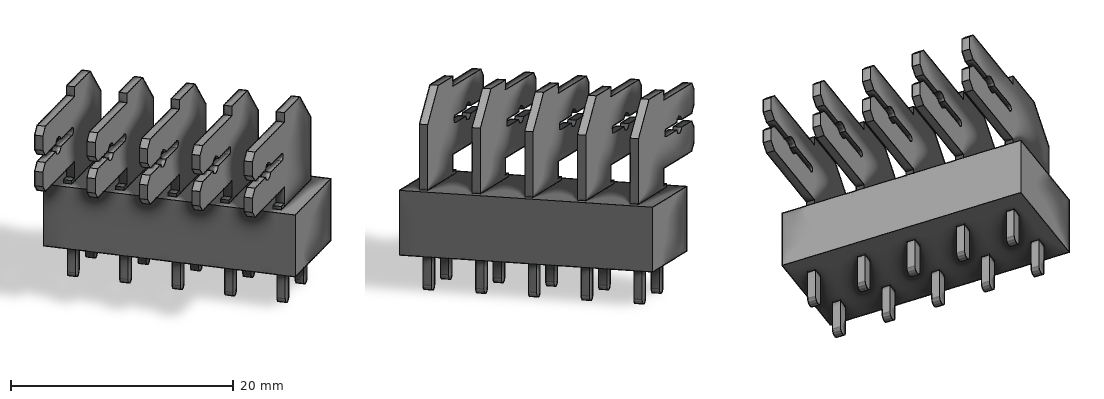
import cadquery as cq


housing_length = 24.0
housing_depth = 9.8
housing_height = 5.95
housing_back = housing_depth / 2
housing_front = -housing_back

contact_count = 5
contact_pitch = 5.0
contact_thickness = 0.8

plate_margin = 0.85
plate_height = 9.05
plate_depth = 7.27
plate_chamfer = 3.02
foot_height = 0.3
plate_back = housing_back - plate_margin
plate_front = plate_back - plate_depth
foot_front = housing_front + plate_margin
plate_top = housing_height + plate_height

fork_reach = 8.74
fork_height = 6.26
fork_drop = 0.9
tine_chamfer = 0.7
slot_width = 0.7
slot_length = 8.4
grip_hole_diameter = 1.58
grip_hole_setback = 4.3
fork_tip = plate_front - fork_reach
fork_top = plate_top - fork_drop
fork_middle = fork_top - fork_height / 2

leg_width = 1.0
leg_projection = 3.5
leg_spacing = 5.0
back_leg_setback = 2.38
back_leg_y = housing_back - back_leg_setback
leg_centres = [back_leg_y, back_leg_y - leg_spacing]

contact_xs = [(i - (contact_count - 1) / 2) * contact_pitch for i in range(contact_count)]


def side_sketch():
    """Workplane in the YZ plane, half a contact thickness to the -X side of the contact middle."""
    return cq.Workplane("YZ", origin=(-contact_thickness / 2, 0, 0))


def make_plate():
    """Upright plate with a chamfered back corner and a low foot at the front."""
    foot_top = housing_height + foot_height
    return (
        side_sketch()
        .moveTo(plate_back, housing_height)
        .lineTo(plate_back, plate_top - plate_chamfer)
        .lineTo(plate_back - plate_chamfer, plate_top)
        .lineTo(plate_front, plate_top)
        .lineTo(plate_front, foot_top)
        .lineTo(foot_front, foot_top)
        .lineTo(foot_front, housing_height)
        .close()
        .extrude(contact_thickness)
    )


def make_fork():
    """Forward bar with both tines, chamfered at its tip corners and at the mouth of its slot."""
    half_height = fork_height / 2
    half_slot = slot_width / 2
    chamfer_end = fork_tip + tine_chamfer
    slot_end = fork_tip + slot_length
    slot_round_start = slot_end - half_slot
    return (
        side_sketch()
        .center(0, fork_middle)
        .moveTo(plate_front, half_height)
        .lineTo(chamfer_end, half_height)
        .lineTo(fork_tip, half_height - tine_chamfer)
        .lineTo(fork_tip, half_slot + tine_chamfer)
        .lineTo(chamfer_end, half_slot)
        .lineTo(slot_round_start, half_slot)
        .threePointArc((slot_end, 0), (slot_round_start, -half_slot))
        .lineTo(chamfer_end, -half_slot)
        .lineTo(fork_tip, -half_slot - tine_chamfer)
        .lineTo(fork_tip, tine_chamfer - half_height)
        .lineTo(chamfer_end, -half_height)
        .lineTo(plate_front, -half_height)
        .close()
        .extrude(contact_thickness)
    )


def make_grip_hole():
    """Round hole that widens the slot between the tines."""
    return (
        side_sketch()
        .center(fork_tip + grip_hole_setback, fork_middle)
        .circle(grip_hole_diameter / 2)
        .extrude(contact_thickness)
    )


def make_leg(centre_y):
    """Straight leg through the housing with a full-round lower end."""
    radius = leg_width / 2
    round_start = radius - leg_projection
    return (
        side_sketch()
        .moveTo(centre_y - radius, housing_height)
        .lineTo(centre_y - radius, round_start)
        .threePointArc((centre_y, -leg_projection), (centre_y + radius, round_start))
        .lineTo(centre_y + radius, housing_height)
        .close()
        .extrude(contact_thickness)
    )


def make_contact(x):
    """One complete contact at the given place along the row."""
    contact = make_plate().union(make_fork()).cut(make_grip_hole())
    for centre_y in leg_centres:
        contact = contact.union(make_leg(centre_y))
    return contact.translate((x, 0, 0))


def make_housing():
    """Rectangular block with a through hole for every leg."""
    block = cq.Workplane("XY").box(
        housing_length, housing_depth, housing_height, centered=(True, True, False)
    )
    leg_places = [(x, y) for x in contact_xs for y in leg_centres]
    leg_holes = (
        cq.Workplane("XY")
        .pushPoints(leg_places)
        .rect(contact_thickness, leg_width)
        .extrude(housing_height)
    )
    return block.cut(leg_holes)


housing = make_housing()
contacts = [make_contact(x) for x in contact_xs]

result = cq.Compound.makeCompound([housing.val(), *[contact.val() for contact in contacts]])